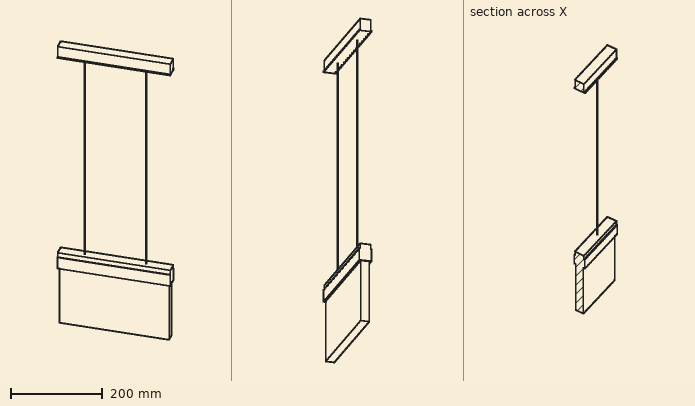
import cadquery as cq

bar_length = 256.0
bar_depth = 28.0
total_height = 708.0

body_depth = 24.0
ceiling_bar_height = 28.0
flange_thickness = 2.0

wire_diameter = 2.0
wire_spacing = 140.0
wire_length = 500.0

head_height = 39.0
cap_height = 11.0

panel_length = 249.0
panel_depth = 20.0

ceiling_bar_bottom = total_height - ceiling_bar_height
head_top = ceiling_bar_bottom - wire_length
head_bottom = head_top - head_height
cap_bottom = head_top - cap_height


def block(length, depth, bottom, top):
    """Box centred on the Z axis, between two levels."""
    return (
        cq.Workplane("XY")
        .workplane(offset=bottom)
        .rect(length, depth)
        .extrude(top - bottom)
    )


def ceiling_bar():
    flange_top = ceiling_bar_bottom + flange_thickness
    flange = block(bar_length, bar_depth, ceiling_bar_bottom, flange_top)
    body = block(bar_length, body_depth, flange_top, total_height)
    return flange.union(body)


def wires():
    half_spacing = wire_spacing / 2
    return (
        cq.Workplane("XY")
        .workplane(offset=head_top)
        .pushPoints([(-half_spacing, 0), (half_spacing, 0)])
        .circle(wire_diameter / 2)
        .extrude(wire_length)
    )


def lamp_head():
    base = block(bar_length, bar_depth, head_bottom, cap_bottom)
    cap = block(bar_length, body_depth, cap_bottom, head_top)
    return base.union(cap)


def panel():
    return block(panel_length, panel_depth, 0, head_bottom)


result = ceiling_bar().union(wires()).union(lamp_head()).union(panel())